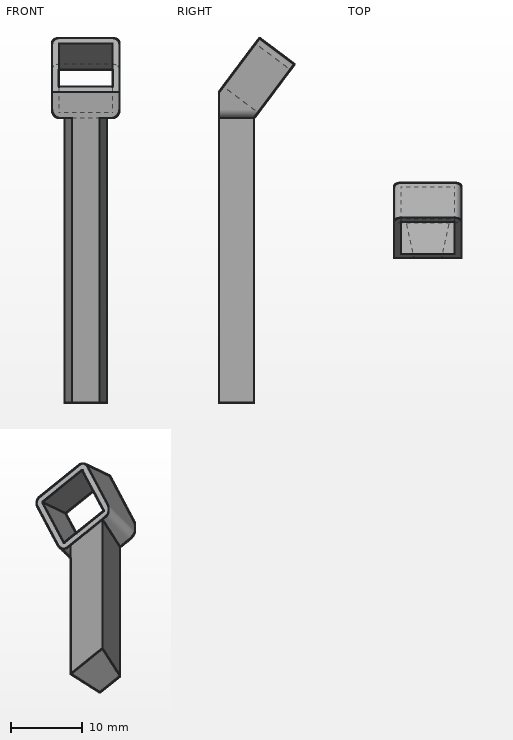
import cadquery as cq
import math

total_height = 51.35
head_width = 9.5
total_depth = 10.65

tilt = math.atan2(3, 4)
ring_size = head_width
wall = 1.0
window_size = ring_size - 2 * wall
top_radius = 1.0
neck_diameter = 2.3

neck_height = 40.05
stem_front_width = 3.85
stem_back_width = 6.0

up_y = math.sin(tilt)
up_z = math.cos(tilt)

crest_y = ring_size * up_y
ring_thickness = (total_depth - crest_y) / up_z
face_bottom_z = total_height - ring_size * up_z
rear_top_z = total_height - ring_thickness * up_y

stem_depth = total_depth - (rear_top_z - neck_height) * math.tan(tilt)


def make_head():
    """Tilted block with a vertical front chin, rounded at its upper and lower side edges."""
    side_profile = [
        (0, neck_height),
        (0, face_bottom_z),
        (crest_y, total_height),
        (total_depth, rear_top_z),
        (stem_depth, neck_height),
    ]
    block = cq.Workplane("YZ").polyline(side_profile).close().extrude(head_width / 2, both=True)

    crest_middle_y = (crest_y + total_depth) / 2
    crest_middle_z = (total_height + rear_top_z) / 2
    for side in (-head_width / 2, head_width / 2):
        crest_point = (side, crest_middle_y, crest_middle_z)
        neck_point = (side, stem_depth / 2, neck_height)
        block = block.edges(cq.NearestToPointSelector(crest_point)).fillet(top_radius)
        block = block.edges(cq.NearestToPointSelector(neck_point)).fillet(neck_diameter / 2)
    return block


def make_window():
    """Square opening through the ring, perpendicular to its tilted face."""
    ring_face = cq.Plane(
        origin=(0, crest_y / 2, (face_bottom_z + total_height) / 2),
        xDir=(1, 0, 0),
        normal=(0, -up_z, up_y),
    )
    cut_depth = 2 * ring_thickness
    return cq.Workplane(ring_face).rect(window_size, window_size).extrude(-cut_depth)


def make_stem():
    """Straight bar of trapezoid section from the base to the neck."""
    section = [
        (-stem_front_width / 2, 0),
        (stem_front_width / 2, 0),
        (stem_back_width / 2, stem_depth),
        (-stem_back_width / 2, stem_depth),
    ]
    return cq.Workplane("XY").polyline(section).close().extrude(neck_height)


result = make_head().cut(make_window()).union(make_stem())